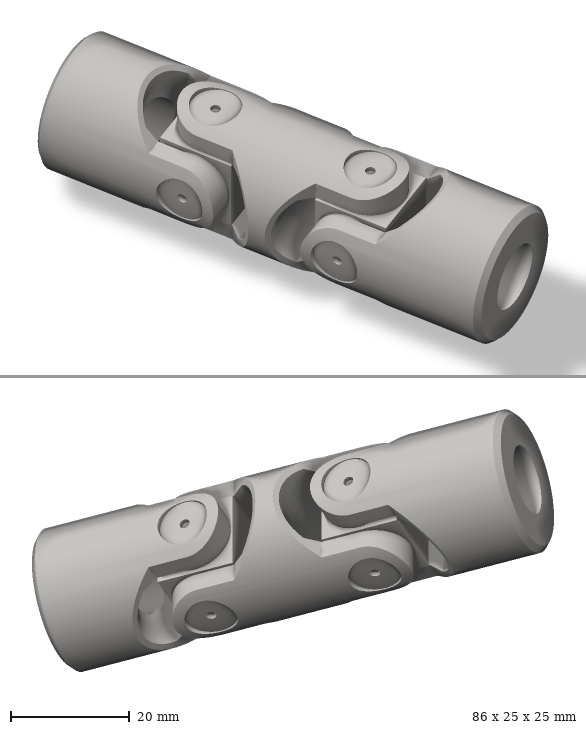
import cadquery as cq
import math


overall_length = 86.0
joint_spacing = 30.0
body_diameter = 25.0
bore_diameter = 12.0
end_chamfer = 1.0

end_ear_width = 13.2
center_ear_width = 13.1
notch_start = 7.0
notch_end = 13.4
fork_gap = 14.7
gap_reach = 13.4
gap_side_reach = 9.8
floor_sweep_radius = 86.0

pin_diameter = 9.0
pin_length = 22.9
center_hole_diameter = 1.8
center_hole_depth = 0.9
y_boss_diameter = 13.0
z_boss_diameter = 12.5
block_x = 13.8
block_y = 13.8
block_z = 14.3

body_radius = body_diameter / 2
end_ear_radius = end_ear_width / 2
center_ear_radius = center_ear_width / 2
joint_offset = joint_spacing / 2
end_yoke_length = overall_length / 2 - joint_offset


def centered_cylinder(diameter, length, axis):
    """Cylinder centred on the origin along the axis vector."""
    start = cq.Vector(*axis) * (-length / 2)
    return cq.Workplane(cq.Solid.makeCylinder(diameter / 2, length, start, cq.Vector(*axis)))


def round_bar(start_x, end_x):
    """Plain round bar along X, from which a yoke is cut."""
    return cq.Workplane("YZ").workplane(offset=start_x).circle(body_radius).extrude(end_x - start_x)


def fork_outline(length, ear_radius):
    """Prism around a fork: pin axis on Z through the origin, full width from the notches to x = length."""
    return (
        cq.Workplane("XY")
        .workplane(offset=-body_radius)
        .moveTo(0, ear_radius)
        .threePointArc((-ear_radius, 0), (0, -ear_radius))
        .lineTo(notch_start, -ear_radius)
        .lineTo(notch_end, -body_radius)
        .lineTo(length, -body_radius)
        .lineTo(length, body_radius)
        .lineTo(notch_end, body_radius)
        .lineTo(notch_start, ear_radius)
        .close()
        .extrude(body_diameter)
    )


def fork_opening():
    """Gap between the two ears of a fork, with the pin hole through both.

    The gap section in XZ ends in an arc, and is revolved about a far axis parallel to Z,
    which leaves its floor hollow in both directions.
    """
    sweep_axis_x = gap_reach - floor_sweep_radius
    sweep_angle = 2 * math.degrees(math.asin(body_diameter / floor_sweep_radius))
    gap = (
        cq.Workplane("XZ")
        .moveTo(-body_radius, -fork_gap / 2)
        .lineTo(gap_side_reach, -fork_gap / 2)
        .threePointArc((gap_reach, 0), (gap_side_reach, fork_gap / 2))
        .lineTo(-body_radius, fork_gap / 2)
        .close()
        .revolve(sweep_angle, (sweep_axis_x, 0, 0), (sweep_axis_x, 1, 0))
        .rotate((sweep_axis_x, 0, 0), (sweep_axis_x, 0, 1), -sweep_angle / 2)
    )
    return gap.union(centered_cylinder(pin_diameter, body_diameter, (0, 0, 1)))


def end_yoke():
    """Bored yoke at the +X end, with its ears on the +Y and -Y sides."""
    bar = round_bar(-end_ear_radius, end_yoke_length).faces(">X").chamfer(end_chamfer)
    bore = cq.Workplane("YZ").circle(bore_diameter / 2).extrude(end_yoke_length)
    yoke = bar.intersect(fork_outline(end_yoke_length, end_ear_radius)).cut(fork_opening()).cut(bore)
    return yoke.rotate((0, 0, 0), (1, 0, 0), 90).translate((joint_offset, 0, 0))


def center_yoke():
    """Two forks back to back, with their ears on the +Z and -Z sides."""
    left_outline = fork_outline(joint_offset, center_ear_radius).translate((-joint_offset, 0, 0))
    left_opening = fork_opening().translate((-joint_offset, 0, 0))
    tip_x = joint_offset + center_ear_radius
    yoke = round_bar(-tip_x, tip_x).intersect(left_outline.union(left_outline.mirror("YZ")))
    return yoke.cut(left_opening).cut(left_opening.mirror("YZ"))


def cross(joint_x):
    """Block with a boss, a pin and a centre hole on each of its Y and Z sides."""
    body = cq.Workplane().box(block_x, block_y, block_z)
    for axis, boss_diameter in (((0, 1, 0), y_boss_diameter), ((0, 0, 1), z_boss_diameter)):
        body = body.union(centered_cylinder(boss_diameter, fork_gap, axis))
        body = body.union(centered_cylinder(pin_diameter, pin_length, axis))
    for side in ((0, 1, 0), (0, -1, 0), (0, 0, 1), (0, 0, -1)):
        outward = cq.Vector(*side)
        hole_bottom = outward * (pin_length / 2 - center_hole_depth)
        hole = cq.Solid.makeCylinder(center_hole_diameter / 2, center_hole_depth, hole_bottom, outward)
        body = body.cut(cq.Workplane(hole))
    return body.translate((joint_x, 0, 0))


right_yoke = end_yoke()
left_yoke = right_yoke.mirror("YZ")
middle_yoke = center_yoke()
crosses = [cross(joint_x) for joint_x in (-joint_offset, joint_offset)]

result = cq.Compound.makeCompound(
    [left_yoke.val(), middle_yoke.val(), right_yoke.val(), *[body.val() for body in crosses]]
)